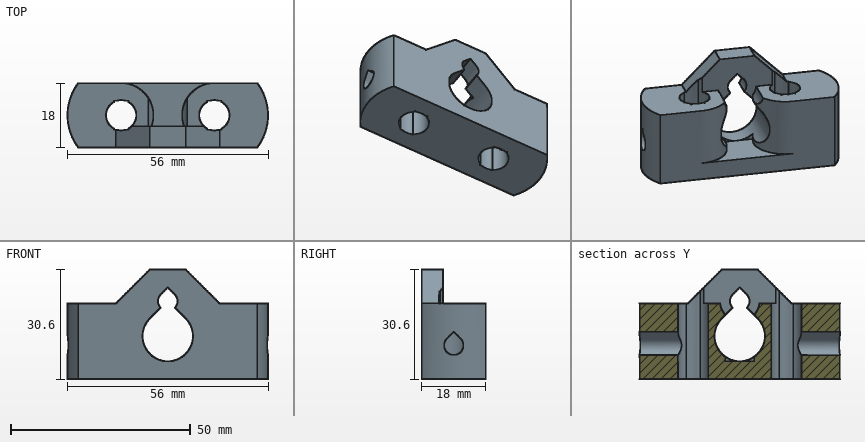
import cadquery as cq
import math

length = 56.0
depth = 18.0
block_height = 21.1
end_radius = 15.0
post_spacing = length - 2 * end_radius
post_radius = depth / 2

plate_thickness = 6.0
total_height = 30.6
crown_top_width = 9.95
crown_rise = total_height - block_height
crown_base_width = crown_top_width + 2 * crown_rise

floor_height = 5.0

post_hole_diameter = 8.4
post_slot_width = 4.0
post_slot_length = 8.0
main_hole_radius = 7.0
main_hole_height = 12.0
screw_hole_radius = 2.7
screw_hole_height = 21.7
head_clearance_radius = 5.5
side_hole_height = 9.4

front_y = -depth / 2
plate_back_y = front_y + plate_thickness
post_x = post_spacing / 2


def teardrop(plane, radius):
    """Circle about the plane origin, closed above by 45 degree flanks meeting at a point."""
    tangent = radius * math.sqrt(0.5)
    apex = radius * math.sqrt(2)
    return (
        cq.Workplane(plane)
        .moveTo(-tangent, tangent)
        .threePointArc((0, -radius), (tangent, tangent))
        .lineTo(0, apex)
        .close()
    )


def lengthwise_plane(y, height):
    """Upright plane whose normal points toward +Y."""
    return cq.Plane(origin=(0, y, height), xDir=(-1, 0, 0), normal=(0, 1, 0))


def make_block():
    """Block with ends rounded about the post axes."""
    corner_x = post_x + math.sqrt(end_radius**2 - (depth / 2) ** 2)
    return (
        cq.Workplane("XY")
        .moveTo(-corner_x, front_y)
        .lineTo(corner_x, front_y)
        .threePointArc((length / 2, 0), (corner_x, -front_y))
        .lineTo(-corner_x, -front_y)
        .threePointArc((-length / 2, 0), (-corner_x, front_y))
        .close()
        .extrude(block_height)
    )


def make_gap():
    """Space between the rounded posts, behind the plate and above the floor."""
    gap = cq.Workplane("XY", origin=(0, 0, floor_height)).rect(post_spacing, depth)
    gap = gap.extrude(block_height - floor_height)
    posts = (
        cq.Workplane("XY")
        .pushPoints([(-post_x, 0), (post_x, 0)])
        .circle(post_radius)
        .extrude(block_height)
    )
    plate = (
        cq.Workplane("XY", origin=(0, front_y, 0))
        .rect(length, 2 * plate_thickness)
        .extrude(block_height)
    )
    return gap.cut(posts).cut(plate)


def make_crown():
    """Trapezoid rising from the plate above the block."""
    return (
        cq.Workplane(lengthwise_plane(front_y, block_height))
        .moveTo(-crown_base_width / 2, 0)
        .lineTo(crown_base_width / 2, 0)
        .lineTo(crown_top_width / 2, crown_rise)
        .lineTo(-crown_top_width / 2, crown_rise)
        .close()
        .extrude(plate_thickness)
    )


result = make_block().cut(make_gap()).union(make_crown())

for radius, height in (
    (main_hole_radius, main_hole_height),
    (screw_hole_radius, screw_hole_height),
):
    result = result.cut(teardrop(lengthwise_plane(front_y, height), radius).extrude(depth))

head_clearance = (
    cq.Workplane(lengthwise_plane(plate_back_y, screw_hole_height))
    .circle(head_clearance_radius)
    .extrude(depth - plate_thickness)
)
result = result.cut(head_clearance)

for side in (-1, 1):
    post_hole = (
        cq.Workplane("XY")
        .center(side * post_x, 0)
        .circle(post_hole_diameter / 2)
        .extrude(total_height)
    )
    post_slot = (
        cq.Workplane("XY")
        .center(side * post_x, 0)
        .rect(post_slot_width, post_slot_length)
        .extrude(total_height)
    )
    side_plane = cq.Plane(
        origin=(side * post_x, 0, side_hole_height), xDir=(0, side, 0), normal=(side, 0, 0)
    )
    side_hole = teardrop(side_plane, screw_hole_radius).extrude(end_radius)
    result = result.cut(post_hole).cut(post_slot).cut(side_hole)